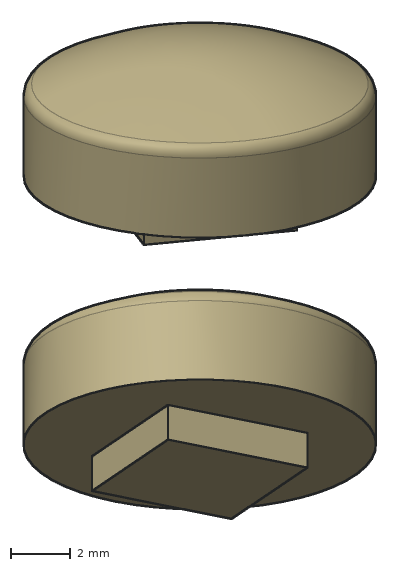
import cadquery as cq
import math

body_diameter = 11.94
total_height = 5.97
stem_width = 5.37
stem_height = 1.27
dome_radius = 12.42
rim_radius = 0.5

body_radius = body_diameter / 2
dome_center_height = total_height - dome_radius

rim_center_x = body_radius - rim_radius
rim_angle = math.asin(rim_center_x / (dome_radius - rim_radius))
rim_center_z = dome_center_height + (dome_radius - rim_radius) * math.cos(rim_angle)


def point_on_arc(center_x, center_z, radius, angle):
    """Profile point at the given angle from vertical around an arc center."""
    return (center_x + radius * math.sin(angle), center_z + radius * math.cos(angle))


def domed_body():
    """Round body with a spherical top and a rounded rim."""
    rim_middle_angle = (rim_angle + math.pi / 2) / 2
    rim_middle = point_on_arc(rim_center_x, rim_center_z, rim_radius, rim_middle_angle)
    dome_edge = point_on_arc(0, dome_center_height, dome_radius, rim_angle)
    dome_middle = point_on_arc(0, dome_center_height, dome_radius, rim_angle / 2)
    half_profile = (
        cq.Workplane("XZ")
        .moveTo(0, stem_height)
        .lineTo(body_radius, stem_height)
        .lineTo(body_radius, rim_center_z)
        .threePointArc(rim_middle, dome_edge)
        .threePointArc(dome_middle, (0, total_height))
        .close()
    )
    return half_profile.revolve(360, (0, 0, 0), (0, 1, 0))


def stem():
    """Square block under the middle of the body."""
    return cq.Workplane("XY").rect(stem_width, stem_width).extrude(stem_height)


result = domed_body().union(stem())